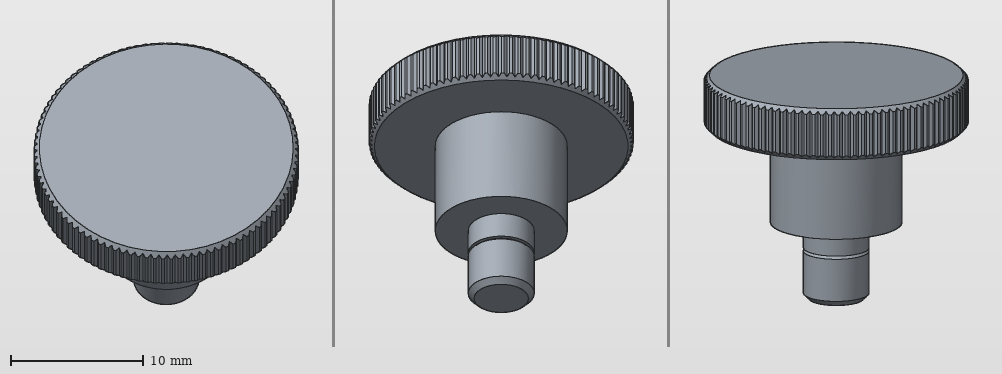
import cadquery as cq
import math

head_diameter = 20.0
head_height = 4.0
head_chamfer = 0.4
tooth_count = 100
groove_depth = 0.21
groove_angle = 90.0

boss_diameter = 10.0
boss_height = 7.5

pin_diameter = 5.0
pin_length = 6.0
pin_chamfer = 0.45
relief_distance = 2.0
relief_depth = 0.3
relief_height = 0.25

boss_bottom = pin_length
head_bottom = boss_bottom + boss_height
relief_top = boss_bottom - relief_distance

head_radius = head_diameter / 2
boss_radius = boss_diameter / 2
pin_radius = pin_diameter / 2


def knurl_outline():
    """Head outline: tooth tips on the outer circle, with a V-groove centred on the X axis."""
    root_radius = head_radius - groove_depth
    half_width = groove_depth * math.tan(math.radians(groove_angle / 2))
    groove_edge = math.asin(half_width / head_radius)
    pitch = 2 * math.pi / tooth_count

    def polar(radius, angle):
        return (radius * math.cos(angle), radius * math.sin(angle))

    outline = cq.Workplane("XY").workplane(offset=head_bottom).moveTo(root_radius, 0)
    for tooth in range(tooth_count):
        start = tooth * pitch
        outline = outline.lineTo(*polar(head_radius, start + groove_edge))
        outline = outline.threePointArc(
            polar(head_radius, start + pitch / 2),
            polar(head_radius, start + pitch - groove_edge),
        )
        if tooth < tooth_count - 1:
            outline = outline.lineTo(*polar(root_radius, start + pitch))
    return outline.close()


def make_head():
    """Knurled disc trimmed by a chamfered disc, so the chamfers cut across the teeth."""
    chamfered_disc = (
        cq.Workplane("XY")
        .workplane(offset=head_bottom)
        .circle(head_radius)
        .extrude(head_height)
        .faces("<Z or >Z")
        .chamfer(head_chamfer)
    )
    return knurl_outline().extrude(head_height).intersect(chamfered_disc)


def make_stem():
    """Boss and pin as one revolved half profile, reaching up to the underside of the head."""
    return (
        cq.Workplane("XZ")
        .moveTo(0, 0)
        .lineTo(pin_radius - pin_chamfer, 0)
        .lineTo(pin_radius, pin_chamfer)
        .lineTo(pin_radius, relief_top - relief_height)
        .lineTo(pin_radius - relief_depth, relief_top)
        .lineTo(pin_radius, relief_top)
        .lineTo(pin_radius, boss_bottom)
        .lineTo(boss_radius, boss_bottom)
        .lineTo(boss_radius, head_bottom)
        .lineTo(0, head_bottom)
        .close()
        .revolve(360, (0, 0, 0), (0, 1, 0))
    )


result = make_head().union(make_stem())